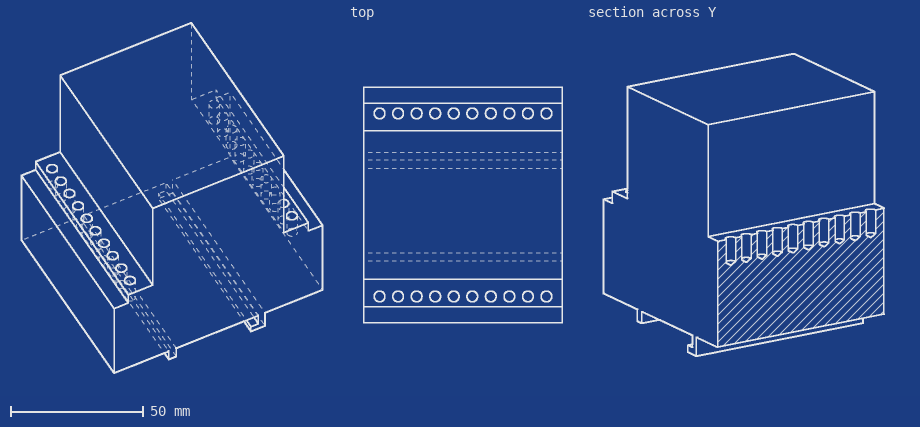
import cadquery as cq
import math

width = 75.0
body_length = 89.0
shoulder_length = 76.9
tower_length = 56.0
total_height = 94.0
body_bottom = 7.5
body_top = 44.9
shoulder_top = 49.6

hook_outer_y = 19.9
hook_stem_thickness = 2.8
hook_reach = 6.0
hook_foot_height = 2.8

rib_inner_y = -18.0
rib_thickness = 3.2
rib_bottom = 2.8

hole_count = 10
hole_row_length = 63.0
hole_pitch = hole_row_length / (hole_count - 1)
hole_diameter = 4.0
hole_depth = 9.4
drill_tip_angle = 118.0
hole_row_spacing = 69.1


def strip(y_start, y_end, z_bottom, z_top):
    """Block over the full width, between two Y planes and two Z planes."""
    return cq.Workplane("XY").box(
        width, y_end - y_start, z_top - z_bottom, centered=(True, False, False)
    ).translate((0, y_start, z_bottom))


def housing():
    """Stack the body, the shoulder and the tower on a common base plane."""
    block = strip(-body_length / 2, body_length / 2, body_bottom, body_top)
    for length, top in ((shoulder_length, shoulder_top), (tower_length, total_height)):
        block = block.union(strip(-length / 2, length / 2, body_bottom, top))
    return block


def rail_hook():
    """Stem hanging from the housing, with a foot turned towards -Y."""
    stem = strip(hook_outer_y - hook_stem_thickness, hook_outer_y, 0, body_bottom)
    foot = strip(hook_outer_y - hook_reach, hook_outer_y, 0, hook_foot_height)
    return stem.union(foot)


def rail_rib():
    return strip(rib_inner_y - rib_thickness, rib_inner_y, rib_bottom, body_bottom)


def terminal_holes():
    """Cylinders with conical drill tips, as a grid of two rows."""
    radius = hole_diameter / 2
    tip_height = radius / math.tan(math.radians(drill_tip_angle / 2))
    wall_bottom = shoulder_top - hole_depth
    drill = (
        cq.Workplane("XZ")
        .moveTo(0, shoulder_top)
        .lineTo(radius, shoulder_top)
        .lineTo(radius, wall_bottom)
        .lineTo(0, wall_bottom - tip_height)
        .close()
        .revolve(360, (0, 0, 0), (0, 1, 0))
        .val()
    )
    return (
        cq.Workplane("XY")
        .rarray(hole_pitch, hole_row_spacing, hole_count, 2)
        .eachpoint(lambda place: drill.moved(place))
    )


result = housing().union(rail_hook()).union(rail_rib()).cut(terminal_holes())